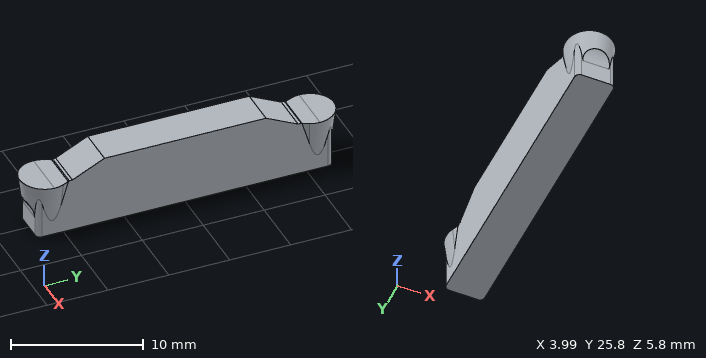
import cadquery as cq
import math

total_length = 25.8
body_width = 3.2
body_height = 5.8
body_end_y = 12.15
corner_radius = 0.4

head_diameter = 4.0
head_radius = head_diameter / 2
head_center_y = total_length / 2 - head_radius
head_height = 4.5
tip_height = 4.55
relief_angle = 7.0
tail_angle = 24.0
tail_length = 1.03

head_back_y = 9.6
step_front_y = 9.52
step_height = 4.55
ramp_foot_y = 9.25
ramp_top_y = 6.63

blend_radius = 1.6
blend_foot_z = 1.62
blend_sweep = 50.0


def blend_point(angle):
    """Point (y, z) on the blend arc, measured upward from its foot."""
    turn = math.radians(angle)
    y = body_end_y + blend_radius * (1 - math.cos(turn))
    z = blend_foot_z + blend_radius * math.sin(turn)
    return y, z


def make_side_envelope():
    """Side profile of the whole part, spanning the head width."""
    tip_y = total_length / 2
    blend_top = blend_point(blend_sweep)
    half = (
        cq.Workplane("YZ")
        .moveTo(0, 0)
        .lineTo(body_end_y, 0)
        .lineTo(body_end_y, blend_foot_z)
        .threePointArc(blend_point(blend_sweep / 2), blend_top)
        .lineTo(tip_y, blend_top[1])
        .lineTo(tip_y, tip_height)
        .lineTo(head_center_y, head_height)
        .lineTo(head_back_y, head_height)
        .lineTo(step_front_y, step_height)
        .lineTo(ramp_foot_y, step_height)
        .lineTo(ramp_top_y, body_height)
        .lineTo(0, body_height)
        .close()
        .extrude(head_radius, both=True)
    )
    return half.union(half.mirror("XZ"))


def make_body():
    """Plain bar with rounded vertical corners."""
    return (
        cq.Workplane("XY")
        .box(body_width, 2 * body_end_y, body_height, centered=(True, True, False))
        .edges("|Z")
        .fillet(corner_radius)
    )


def make_head():
    """Tapered round head at the +Y end, with straight tangent flanks running back into the body."""
    turn = math.radians(tail_angle)
    tangent_x = head_radius * math.cos(turn)
    tangent_y = head_center_y - head_radius * math.sin(turn)
    tail_x = tangent_x - tail_length * math.sin(turn)
    tail_y = tangent_y - tail_length * math.cos(turn)
    return (
        cq.Workplane("XY", origin=(0, 0, tip_height))
        .moveTo(tail_x, tail_y)
        .lineTo(tangent_x, tangent_y)
        .threePointArc((0, total_length / 2), (-tangent_x, tangent_y))
        .lineTo(-tail_x, tail_y)
        .close()
        .extrude(-tip_height, taper=relief_angle)
    )


head = make_head()
blank = make_body().union(head).union(head.mirror("XZ"))
result = blank.intersect(make_side_envelope())